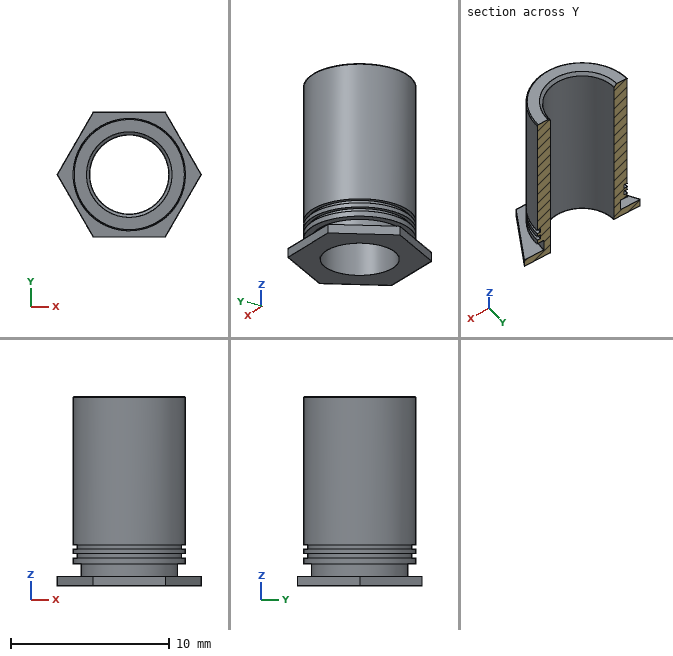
import cadquery as cq
import math

total_height = 12.0
hex_across_flats = 7.9
hex_across_corners = hex_across_flats / math.cos(math.pi / 6)
hex_thickness = 0.6

barrel_diameter = 7.12
groove_diameter = 6.61
neck_diameter = 6.11
bore_diameter = 5.0
bore_mouth_diameter = 5.41

neck_height = 0.8
lower_ring_height = 0.36
upper_ring_height = 0.29
groove_height = 0.28

rim_chamfer = 0.07
mouth_chamfer = (bore_mouth_diameter - bore_diameter) / 2


def cylinder(diameter, bottom, height):
    """Upright cylinder on the Z axis."""
    return cq.Workplane("XY").workplane(offset=bottom).circle(diameter / 2).extrude(height)


body = cq.Workplane("XY").polygon(6, hex_across_corners).extrude(hex_thickness)

level = hex_thickness
for diameter, height in (
    (neck_diameter, neck_height),
    (barrel_diameter, lower_ring_height),
    (groove_diameter, groove_height),
    (barrel_diameter, upper_ring_height),
    (groove_diameter, groove_height),
):
    body = body.union(cylinder(diameter, level, height))
    level += height

barrel = cylinder(barrel_diameter, level, total_height - level)
body = body.union(barrel.faces(">Z").chamfer(rim_chamfer))

body = body.cut(cylinder(bore_diameter, 0, total_height))
countersink = cq.Solid.makeCone(
    bore_diameter / 2,
    bore_mouth_diameter / 2,
    mouth_chamfer,
    pnt=cq.Vector(0, 0, total_height - mouth_chamfer),
)
result = body.cut(cq.Workplane(countersink))